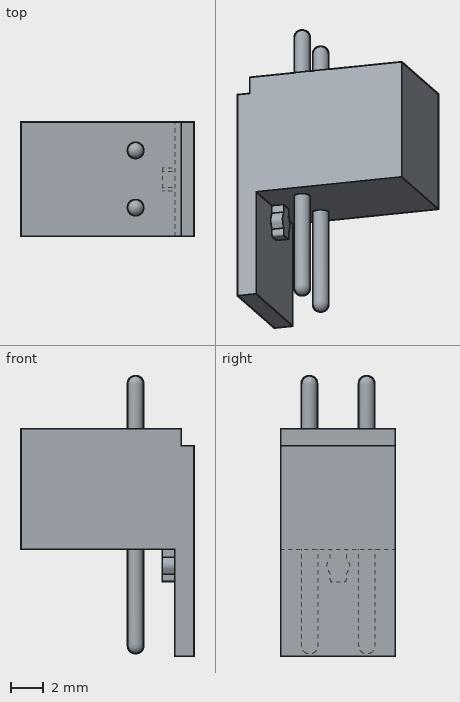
import cadquery as cq

length = 10.6
width = 7.0
body_bottom = 6.53
body_top = 13.91
wall_thickness = 1.2
step_length = 0.79
step_depth = 1.03

pin_diameter = 1.0
pin_pitch = 3.5
pin_x = 7.01
pin_bottom = 0.17
pin_top = 17.15
tip_radius = 0.98 * pin_diameter / 2

key_thickness = 0.75
key_height = 1.97
key_half_width = 0.489
key_corner_radius = 0.14
bulge_depth = 1.0
bulge_half_height = 0.51
bulge_half_width = 0.7
bulge_arc_half_width = 0.63
bulge_arc_half_height = 0.232

wall_x = length - wall_thickness


def make_housing():
    """L-shaped side profile with a step along the top edge of the wall."""
    return (
        cq.Workplane("XZ")
        .moveTo(0, body_bottom)
        .lineTo(wall_x, body_bottom)
        .lineTo(wall_x, 0)
        .lineTo(length, 0)
        .lineTo(length, body_top - step_depth)
        .lineTo(length - step_length, body_top - step_depth)
        .lineTo(length - step_length, body_top)
        .lineTo(0, body_top)
        .close()
        .extrude(width / 2, both=True)
    )


def make_pin(y):
    """Round pin with domed ends, passing through the block."""
    return (
        cq.Workplane("XY", origin=(pin_x, y, pin_bottom))
        .circle(pin_diameter / 2)
        .extrude(pin_top - pin_bottom)
        .edges("%CIRCLE")
        .fillet(tip_radius)
    )


def make_key():
    """Straight key with a rounded bulge on each side."""
    bulge_z = body_bottom - bulge_depth
    key_bottom = body_bottom - key_height
    return (
        cq.Workplane("YZ", origin=(wall_x - key_thickness, 0, 0))
        .moveTo(-key_half_width, body_bottom)
        .lineTo(-key_half_width, bulge_z + bulge_half_height)
        .lineTo(-bulge_arc_half_width, bulge_z + bulge_arc_half_height)
        .threePointArc(
            (-bulge_half_width, bulge_z),
            (-bulge_arc_half_width, bulge_z - bulge_arc_half_height),
        )
        .lineTo(-key_half_width, bulge_z - bulge_half_height)
        .lineTo(-key_half_width, key_bottom)
        .lineTo(key_half_width, key_bottom)
        .lineTo(key_half_width, bulge_z - bulge_half_height)
        .lineTo(bulge_arc_half_width, bulge_z - bulge_arc_half_height)
        .threePointArc(
            (bulge_half_width, bulge_z),
            (bulge_arc_half_width, bulge_z + bulge_arc_half_height),
        )
        .lineTo(key_half_width, bulge_z + bulge_half_height)
        .lineTo(key_half_width, body_bottom)
        .close()
        .extrude(key_thickness)
        .faces("<Z")
        .edges("|X")
        .fillet(key_corner_radius)
    )


result = make_housing().union(make_key())
for side in (-1, 1):
    result = result.union(make_pin(side * pin_pitch / 2))